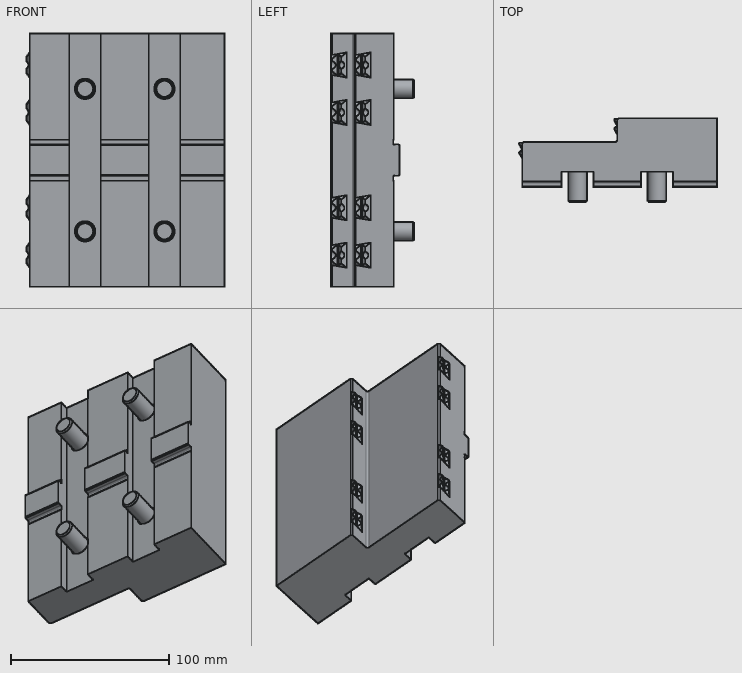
import cadquery as cq

HEIGHT = 160.0
WIDTH = 123.0
DEPTH = 40.0
STEP_X = 60.0
STEP_DEPTH = 15.0
EDGE_CHAMFER = 1.0
STEP_RADIUS = 1.3
MID_Z = HEIGHT / 2
STEP_Y = DEPTH - STEP_DEPTH

CHANNEL_WIDTH = 20.0
CHANNEL_DEPTH = 6.0
FIRST_CHANNEL_X = 35.0
CHANNEL_PITCH = 50.0
CHANNEL_CENTRES = (FIRST_CHANNEL_X, FIRST_CHANNEL_X + CHANNEL_PITCH)

KEY_HEIGHT = 20.0
KEY_PROJECTION = 3.5
KEY_CHAMFER = 0.6
RELIEF_WIDTH = 2.9
RELIEF_DEPTH = 0.3
RELIEF_RADIUS = 0.5
UNDERCUT_START = 0.8
UNDERCUT_DEPTH = 0.2

PIN_DIAMETER = 12.0
PIN_PROJECTION = 13.0
PIN_CHAMFER = 1.0
PIN_SPACING = 90.0
CLEARANCE_DIAMETER = 13.0
CLEARANCE_DEPTH = 9.6

TOOTH_HEIGHT = 2.0
INSERT_TOP = 0.5
INSERT_LENGTH = 9.8
CROWN_HEIGHT = 1.6
FIRST_PEAK = 1.1
SECOND_PEAK = 6.7
VALLEY_START = 4.2
VALLEY_END = 5.1
VALLEY_FLOOR = 0.3
NARROW_HALF = 6.2
WIDE_HALF = 8.0
END_SLOPE = 1.2
NOTCH_DIAMETER = 6.7
NOTCH_FLOOR = 0.8
INSERT_OFFSETS = (30.0, 60.0)
EMBED = 0.8


def make_block():
    block = (
        cq.Workplane("XY")
        .polyline([(0, 0), (WIDTH, 0), (WIDTH, DEPTH), (STEP_X, DEPTH), (STEP_X, STEP_Y), (0, STEP_Y)])
        .close()
        .extrude(HEIGHT)
    )
    inner_corner = cq.selectors.NearestToPointSelector((STEP_X, STEP_Y, MID_Z))
    block = block.edges("|Z").edges(inner_corner).fillet(STEP_RADIUS)
    for corner in ((0, STEP_Y, MID_Z), (STEP_X, DEPTH, MID_Z)):
        block = block.edges("|Z").edges(cq.selectors.NearestToPointSelector(corner)).chamfer(EDGE_CHAMFER)
    return block


def make_key():
    """Key bar to add, with undercut sides and filleted foot, and relief bar to remove first."""
    relief = cq.Workplane("XY").box(
        WIDTH, RELIEF_DEPTH, KEY_HEIGHT + 2 * RELIEF_WIDTH, centered=(False, False, True)
    )
    half = KEY_HEIGHT / 2
    root = half - UNDERCUT_DEPTH
    foot = root + RELIEF_RADIUS
    tip = half - KEY_CHAMFER
    bend = RELIEF_RADIUS * (1 - 0.5 ** 0.5)
    upper_half = (
        cq.Workplane("YZ")
        .moveTo(RELIEF_DEPTH + EMBED, 0)
        .lineTo(-KEY_PROJECTION, 0)
        .lineTo(-KEY_PROJECTION, tip)
        .lineTo(KEY_CHAMFER - KEY_PROJECTION, half)
        .lineTo(-UNDERCUT_START, half)
        .lineTo(RELIEF_DEPTH - RELIEF_RADIUS, root)
        .threePointArc((RELIEF_DEPTH - bend, root + bend), (RELIEF_DEPTH, foot))
        .lineTo(RELIEF_DEPTH + EMBED, foot)
        .close()
        .extrude(WIDTH)
    )
    key = upper_half.union(upper_half.mirror("XY"))
    return key.translate((0, 0, MID_Z)), relief.translate((0, 0, MID_Z))


def make_channel(centre_x):
    return (
        cq.Workplane("XY")
        .box(CHANNEL_WIDTH, CHANNEL_DEPTH + KEY_PROJECTION, HEIGHT, centered=(True, False, False))
        .translate((centre_x, -KEY_PROJECTION, 0))
    )


def make_pin(x, z):
    root_y = CHANNEL_DEPTH + CLEARANCE_DEPTH + EMBED
    return (
        cq.Workplane("XZ", origin=(x, root_y, z))
        .circle(PIN_DIAMETER / 2)
        .extrude(root_y + PIN_PROJECTION)
        .faces("<Y")
        .chamfer(PIN_CHAMFER)
    )


def make_clearance(x, z):
    return (
        cq.Workplane("XZ", origin=(x, CHANNEL_DEPTH + CLEARANCE_DEPTH, z))
        .circle(CLEARANCE_DIAMETER / 2)
        .extrude(CLEARANCE_DEPTH)
    )


def make_insert():
    """Insert on a wall at x = 0, blunt end towards y = 0, centred on z = 0."""
    blunt_y = -INSERT_TOP
    thin_y = blunt_y - INSERT_LENGTH
    teeth = (
        cq.Workplane("XY", origin=(0, 0, -WIDE_HALF))
        .moveTo(EMBED, blunt_y)
        .lineTo(-CROWN_HEIGHT, blunt_y)
        .lineTo(-TOOTH_HEIGHT, -FIRST_PEAK)
        .lineTo(-VALLEY_FLOOR, -VALLEY_START)
        .lineTo(-VALLEY_FLOOR, -VALLEY_END)
        .lineTo(-TOOTH_HEIGHT, -SECOND_PEAK)
        .lineTo(0, thin_y)
        .lineTo(EMBED, thin_y)
        .close()
        .extrude(2 * WIDE_HALF)
    )

    def outline(height):
        inset = END_SLOPE * height
        narrow = NARROW_HALF - inset
        wide = WIDE_HALF - inset
        corners = [(blunt_y, -narrow), (blunt_y, narrow), (thin_y, wide), (thin_y, -wide)]
        return cq.Wire.makePolygon([cq.Vector(-height, y, z) for y, z in corners], close=True)

    bevelled = cq.Solid.makeLoft([outline(-EMBED), outline(TOOTH_HEIGHT)], True)
    notch_radius = NOTCH_DIAMETER / 2
    notch = (
        cq.Workplane("XZ")
        .center(-NOTCH_FLOOR - notch_radius, 0)
        .circle(notch_radius)
        .extrude(INSERT_LENGTH + 2 * INSERT_TOP)
    )
    return teeth.intersect(cq.Workplane(bevelled)).cut(notch)


key, relief = make_key()
result = make_block().cut(relief).union(key)

for channel_x in CHANNEL_CENTRES:
    result = result.cut(make_channel(channel_x))
    for side in (-1, 1):
        pin_z = MID_Z + side * PIN_SPACING / 2
        result = result.cut(make_clearance(channel_x, pin_z)).union(make_pin(channel_x, pin_z))

insert = make_insert()
for wall_x, wall_back in ((0, STEP_Y), (STEP_X, DEPTH)):
    for offset in INSERT_OFFSETS:
        for side in (-1, 1):
            result = result.union(insert.translate((wall_x, wall_back, MID_Z + side * offset)))